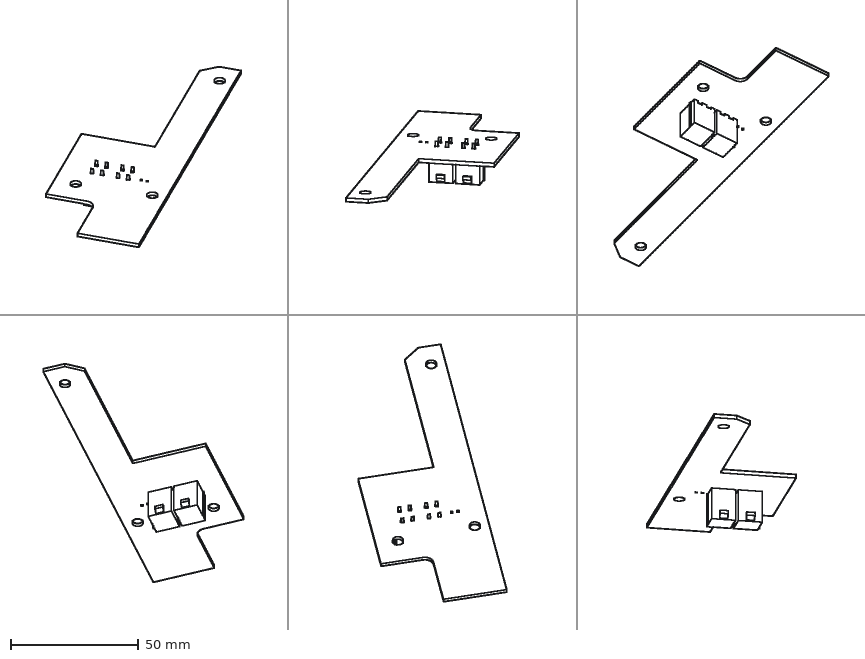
import cadquery as cq

BOARD_WIDTH = 45.8
BOARD_LENGTH = 130.8
BOARD_THICKNESS = 1.6
ARM_LEFT = 30.3
ARM_START = 68.4
CHAMFER_X = 6.4
CHAMFER_Y = 5.1
TAIL_LEFT = 20.4
TAIL_LENGTH = 23.0
CORNER_RADIUS = 3.5

MOUNT_DIAMETER = 4.3
MOUNT_POINTS = [(8.9, 33.5), (40.0, 35.0), (40.0, 121.3)]
VIA_DIAMETER = 0.9
VIA_POINTS = [(32.6, 44.0), (35.0, 44.0)]
PIN_HOLE_DIAMETER = 1.5

FIRST_PIN_X = 12.5
FIRST_PIN_Y = 43.2
PIN_PITCH_X = 4.2
PIN_PITCH_Y = 5.5
PIN_WIDTH = 1.0
PIN_DEPTH = 0.8
PIN_EXPOSED = 2.0
PIN_BEVEL_DEPTH = 0.5
PIN_BEVEL_HEIGHT = 1.5

CONNECTOR_COUNT = 2
CONNECTOR_PITCH = 10.7
HOUSING_WIDTH = 9.7
HOUSING_DEPTH = 9.7
HOUSING_HEIGHT = 12.8
HOUSING_FRONT_Y = 40.8
RIB_WIDTH = 0.8
RIB_PROTRUSION = 0.4
RIB_FRONT_OFFSET = 2.1
NOTCH_WIDTH = 2.0
NOTCH_HEIGHT = 0.9
NOTCH_DEPTH = 1.0
LATCH_WIDTH = 3.3
LATCH_PROTRUSION = 1.2
LATCH_TOP_DROP = 9.4
LATCH_FLAT = 1.3
LATCH_HEIGHT = 2.9

connector_xs = [FIRST_PIN_X + PIN_PITCH_X / 2 + i * CONNECTOR_PITCH for i in range(CONNECTOR_COUNT)]
pin_ys = [FIRST_PIN_Y, FIRST_PIN_Y + PIN_PITCH_Y]


def pin_columns(center_x):
    """X positions of the two pin columns of one connector."""
    return [center_x - PIN_PITCH_X / 2, center_x + PIN_PITCH_X / 2]


def block(x_min, y_min, z_min, x_size, y_size, z_size):
    """Axis-aligned block placed by its minimum corner."""
    box = cq.Workplane("XY").box(x_size, y_size, z_size, centered=False)
    return box.translate((x_min, y_min, z_min))


def drill(body, points, diameter):
    """Cut round through holes in the board."""
    tools = cq.Workplane("XY").pushPoints(points).circle(diameter / 2).extrude(BOARD_THICKNESS)
    return body.cut(tools)


def make_board():
    """Flat board with its underside at Z = 0."""
    body = (
        cq.Workplane("XY")
        .moveTo(TAIL_LEFT, 0)
        .lineTo(BOARD_WIDTH, 0)
        .lineTo(BOARD_WIDTH, BOARD_LENGTH)
        .lineTo(ARM_LEFT + CHAMFER_X, BOARD_LENGTH)
        .lineTo(ARM_LEFT, BOARD_LENGTH - CHAMFER_Y)
        .lineTo(ARM_LEFT, ARM_START)
        .lineTo(0, ARM_START)
        .lineTo(0, TAIL_LENGTH)
        .lineTo(TAIL_LEFT - CORNER_RADIUS, TAIL_LENGTH)
        .radiusArc((TAIL_LEFT, TAIL_LENGTH - CORNER_RADIUS), CORNER_RADIUS)
        .close()
        .extrude(BOARD_THICKNESS)
    )
    pin_points = [(x, y) for center_x in connector_xs for x in pin_columns(center_x) for y in pin_ys]
    body = drill(body, MOUNT_POINTS, MOUNT_DIAMETER)
    body = drill(body, VIA_POINTS, VIA_DIAMETER)
    return drill(body, pin_points, PIN_HOLE_DIAMETER)


def make_pin(x, y, inward):
    """Pin rising through the board; inward (+1 or -1) is the Y direction its bevelled side faces."""
    top = BOARD_THICKNESS + PIN_EXPOSED
    inner = y + inward * PIN_DEPTH / 2
    outer = y - inward * PIN_DEPTH / 2
    profile = [
        (outer, -NOTCH_HEIGHT),
        (outer, top),
        (inner - inward * PIN_BEVEL_DEPTH, top),
        (inner, top - PIN_BEVEL_HEIGHT),
        (inner, -NOTCH_HEIGHT),
    ]
    pin = cq.Workplane("YZ").polyline(profile).close().extrude(PIN_WIDTH)
    return pin.translate((x - PIN_WIDTH / 2, 0, 0))


def make_latch(center_x):
    """Locking ramp on the rear face of a housing: flat on top, sloping back to the face below."""
    rear = HOUSING_FRONT_Y + HOUSING_DEPTH
    profile = [
        (rear, -LATCH_TOP_DROP),
        (rear + LATCH_PROTRUSION, -LATCH_TOP_DROP),
        (rear + LATCH_PROTRUSION, -LATCH_TOP_DROP - LATCH_FLAT),
        (rear, -LATCH_TOP_DROP - LATCH_HEIGHT),
    ]
    latch = cq.Workplane("YZ").polyline(profile).close().extrude(LATCH_WIDTH)
    return latch.translate((center_x - LATCH_WIDTH / 2, 0, 0))


def make_connector(center_x):
    """Connector with a ribbed housing below the board and four pins through it."""
    left = center_x - HOUSING_WIDTH / 2
    body = block(left, HOUSING_FRONT_Y, -HOUSING_HEIGHT, HOUSING_WIDTH, HOUSING_DEPTH, HOUSING_HEIGHT)

    body = body.union(
        block(
            left - RIB_PROTRUSION,
            HOUSING_FRONT_Y + RIB_FRONT_OFFSET,
            -HOUSING_HEIGHT,
            HOUSING_WIDTH + 2 * RIB_PROTRUSION,
            RIB_WIDTH,
            HOUSING_HEIGHT,
        )
    )
    body = body.union(make_latch(center_x))

    for x in pin_columns(center_x):
        notch = block(
            x - NOTCH_WIDTH / 2, HOUSING_FRONT_Y, -NOTCH_HEIGHT, NOTCH_WIDTH, NOTCH_DEPTH, NOTCH_HEIGHT
        )
        body = body.cut(notch)
        for y, inward in zip(pin_ys, (1, -1)):
            body = body.union(make_pin(x, y, inward))
    return body


board = make_board()
connectors = [make_connector(center_x) for center_x in connector_xs]

result = cq.Compound.makeCompound([board.val(), *[connector.val() for connector in connectors]])